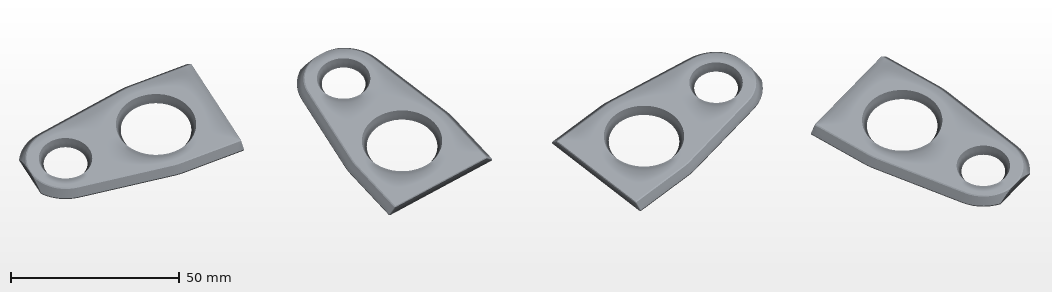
import cadquery as cq
import math

thickness = 2.5
rim_height = 0.4
bevel_angle = 45.0
top_chamfer = 0.22
back_corner_radius = 0.35

wide_radius = 18.8
nose_radius = 13.9
hole_spacing = 30.0
back_y = 20.0
nose_flat_distance = 11.8

big_hole_diameter = 21.0
small_hole_diameter = 13.0
hole_flare_angle = 30.0

blank_overhang = 10.0


def outline():
    """Straight sides, a tangent taper and a round nose, open past the back face."""
    taper = math.asin((wide_radius - nose_radius) / hole_spacing)
    blank_back_y = back_y + blank_overhang

    def on_arc(radius, center_y, angle):
        return radius * math.cos(angle), center_y - radius * math.sin(angle)

    def mirrored(point):
        return -point[0], point[1]

    shoulder_mid = on_arc(wide_radius, 0, taper / 2)
    shoulder_end = on_arc(wide_radius, 0, taper)
    nose_start = on_arc(nose_radius, -hole_spacing, taper)
    nose_tip = (0, -hole_spacing - nose_radius)

    return (
        cq.Workplane("XY")
        .moveTo(wide_radius, blank_back_y)
        .lineTo(wide_radius, 0)
        .threePointArc(shoulder_mid, shoulder_end)
        .lineTo(*nose_start)
        .threePointArc(nose_tip, mirrored(nose_start))
        .lineTo(*mirrored(shoulder_end))
        .threePointArc(mirrored(shoulder_mid), (-wide_radius, 0))
        .lineTo(-wide_radius, blank_back_y)
        .close()
    )


def beveled_plate():
    """Vertical rim with an inward bevel above it, squared off at the back."""
    rim = outline().extrude(rim_height)
    bevel = outline().extrude(thickness - rim_height, taper=bevel_angle)
    plate = rim.union(bevel.translate((0, 0, rim_height)))
    keep = cq.Workplane("XY").box(
        2 * wide_radius, back_y + hole_spacing + nose_radius, thickness, centered=(True, False, False)
    )
    return plate.intersect(keep.translate((0, -hole_spacing - nose_radius, 0)))


def break_edges(plate):
    """Round the left and right ends of the back face, then chamfer the top face all round."""
    plate = plate.faces(">Y").edges("not(|X)").fillet(back_corner_radius)
    return plate.faces(">Z").edges().chamfer(top_chamfer)


def cut_nose_flat(plate):
    """Trim the nose with a vertical plane."""
    cutter = cq.Workplane("XY").box(
        2 * nose_radius, nose_radius, thickness, centered=(True, False, False)
    )
    return plate.cut(cutter.translate((0, -hole_spacing - nose_flat_distance - nose_radius, 0)))


def flared_hole(diameter, center_y):
    """Conical cutter with its narrow end at the bottom face."""
    bottom_radius = diameter / 2
    top_radius = bottom_radius + thickness * math.tan(math.radians(hole_flare_angle))
    cone = cq.Solid.makeCone(bottom_radius, top_radius, thickness)
    return cq.Workplane(cone.translate(cq.Vector(0, center_y, 0)))


result = cut_nose_flat(break_edges(beveled_plate()))
result = result.cut(flared_hole(big_hole_diameter, 0))
result = result.cut(flared_hole(small_hole_diameter, -hole_spacing))